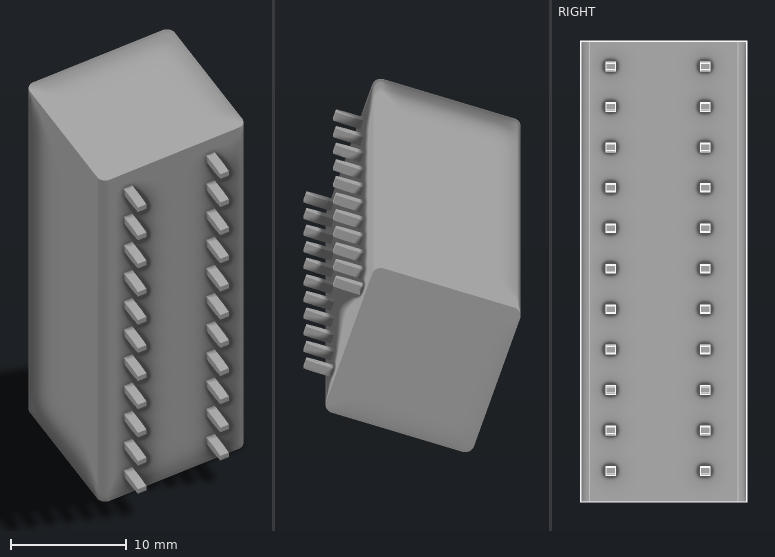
import cadquery as cq

overall_x = 16.0
body_y = 14.4
body_z = 39.9
pin_length = 2.5
body_x = overall_x - pin_length
corner_radius = 0.8

pins_per_row = 11
pin_row_length = 35.0
pin_pitch = pin_row_length / (pins_per_row - 1)
pin_width = 0.85
pin_thickness = 0.75
pin_tip_thickness = 0.55
pin_taper_length = 1.0
pin_embed = 0.4
top_pin_drop = 2.2
front_row_y = -4.6
row_spacing = 8.18
row_positions = (front_row_y, front_row_y + row_spacing)


def make_body():
    """Solid housing with rounded vertical edges, its -X face on X = 0."""
    body = cq.Workplane("XY").box(body_x, body_y, body_z, centered=(False, True, False))
    return body.edges("|Z").fillet(corner_radius)


def make_pin(row_y, pin_z):
    """Flat pin along +X whose upper and lower faces taper towards the tip."""
    taper_start = overall_x - pin_taper_length
    half_root = pin_thickness / 2
    half_tip = pin_tip_thickness / 2
    return (
        cq.Workplane("XZ")
        .moveTo(body_x - pin_embed, -half_root)
        .lineTo(taper_start, -half_root)
        .lineTo(overall_x, -half_tip)
        .lineTo(overall_x, half_tip)
        .lineTo(taper_start, half_root)
        .lineTo(body_x - pin_embed, half_root)
        .close()
        .extrude(pin_width / 2, both=True)
        .translate((0, row_y, pin_z))
    )


result = make_body()
for row_y in row_positions:
    for index in range(pins_per_row):
        result = result.union(make_pin(row_y, body_z - top_pin_drop - index * pin_pitch))